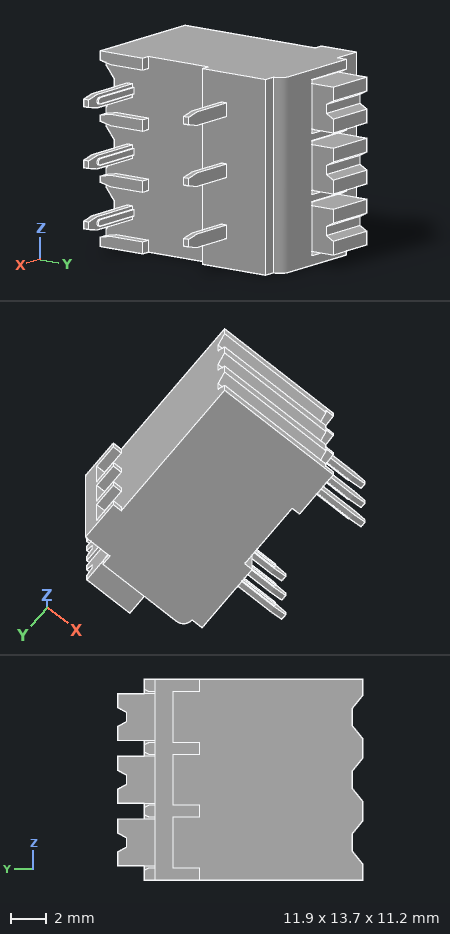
import cadquery as cq


pole_count = 3
pole_pitch = 3.5
block_height = 11.2
pole_centers = [(i - (pole_count - 1) / 2) * pole_pitch for i in range(pole_count)]

overall_length = 11.9
overall_width = 13.65
housing_left = 0.57
housing_right = 8.4
flange_bottom = 9.1
shoulder_y = 11.56
raised_left = 1.76
raised_right = 7.67
raised_top = 12.18
raised_corner_radius = raised_top - shoulder_y
foot_height = 0.53
front_foot_end = 2.98
rear_foot_start = 7.15
foot_base = housing_right - foot_height

flange_recess_height = 2.83
flange_recess_top = 10.57

button_left = 1.8
button_right = 4.9
button_height = 2.62
button_notch_depth = 0.48
button_notch_mouth = 1.04
button_notch_floor = 0.52
slot_height = flange_recess_height
slot_lead_in_height = 0.14
slot_lead_in_depth = 0.27

groove_depth = 0.57
groove_mouth = 2.4
groove_floor = 0.98

opening_mouth = 3.14
opening_throat = 2.84
opening_taper_depth = 0.75

pin_root = foot_base - foot_height
pin_height = 0.78
pin_thickness = 0.35
pin_tip_height = 0.44
pin_taper_start = 11.12
front_pin_y = 1.5
rear_pin_y = 8.49
ridge_height = 0.38
ridge_thickness = 0.1


def prism_along_x(points_yz, x_start, x_end):
    """Closed Y-Z outline extruded from x_start to x_end."""
    return cq.Workplane("YZ").workplane(offset=x_start).polyline(points_yz).close().extrude(x_end - x_start)


def box_between(x_range, y_range, z_center, height):
    """Box spanning the given X and Y ranges, centred on z_center."""
    center = (sum(x_range) / 2, sum(y_range) / 2, z_center)
    return cq.Workplane("XY", origin=center).box(x_range[1] - x_range[0], y_range[1] - y_range[0], height)


def make_housing():
    return (
        cq.Workplane("XY")
        .workplane(offset=-block_height / 2)
        .moveTo(housing_left, 0)
        .lineTo(housing_right, 0)
        .lineTo(housing_right, front_foot_end)
        .lineTo(foot_base, front_foot_end)
        .lineTo(foot_base, rear_foot_start)
        .lineTo(housing_right, rear_foot_start)
        .lineTo(housing_right, shoulder_y)
        .lineTo(raised_right, shoulder_y)
        .radiusArc((raised_right - raised_corner_radius, raised_top), -raised_corner_radius)
        .lineTo(raised_left, raised_top)
        .lineTo(raised_left, shoulder_y)
        .lineTo(0, shoulder_y)
        .lineTo(0, flange_bottom)
        .lineTo(housing_left, flange_bottom)
        .close()
        .extrude(block_height)
    )


def make_flange_recess(z):
    return box_between((0, housing_left), (flange_bottom, flange_recess_top), z, flange_recess_height)


def make_button_slot(z):
    half = slot_height / 2
    half_mouth = half + slot_lead_in_height
    lead_in_start = raised_top - slot_lead_in_depth
    outline = [
        (shoulder_y, z - half),
        (lead_in_start, z - half),
        (raised_top, z - half_mouth),
        (raised_top, z + half_mouth),
        (lead_in_start, z + half),
        (shoulder_y, z + half),
    ]
    return prism_along_x(outline, raised_left, button_right)


def make_button(z):
    half = button_height / 2
    notch_y = overall_width - button_notch_depth
    outline = [
        (flange_recess_top, z - half),
        (overall_width, z - half),
        (overall_width, z - button_notch_mouth / 2),
        (notch_y, z - button_notch_floor / 2),
        (notch_y, z + button_notch_floor / 2),
        (overall_width, z + button_notch_mouth / 2),
        (overall_width, z + half),
        (flange_recess_top, z + half),
    ]
    return prism_along_x(outline, button_left, button_right)


def make_groove(z):
    outline = [
        (0, z - groove_mouth / 2),
        (groove_depth, z - groove_floor / 2),
        (groove_depth, z + groove_floor / 2),
        (0, z + groove_mouth / 2),
    ]
    return prism_along_x(outline, housing_left, housing_right)


def make_foot_opening(z):
    outline = [
        (0, z - opening_mouth / 2),
        (opening_taper_depth, z - opening_throat / 2),
        (front_foot_end, z - opening_throat / 2),
        (front_foot_end, z + opening_throat / 2),
        (opening_taper_depth, z + opening_throat / 2),
        (0, z + opening_mouth / 2),
    ]
    return prism_along_x(outline, foot_base, housing_right)


def make_pin(y_start, ridge_y_start, z):
    """Flat pin with a tapered tip and a round-ended ridge on one side, rooted in the housing."""
    blade = (
        cq.Workplane("XZ", origin=(0, y_start + pin_thickness, z))
        .moveTo(pin_root, -pin_height / 2)
        .lineTo(pin_taper_start, -pin_height / 2)
        .lineTo(overall_length, -pin_tip_height / 2)
        .lineTo(overall_length, pin_tip_height / 2)
        .lineTo(pin_taper_start, pin_height / 2)
        .lineTo(pin_root, pin_height / 2)
        .close()
        .extrude(pin_thickness)
    )
    ridge_end = pin_taper_start - ridge_height / 2
    ridge = (
        cq.Workplane("XZ", origin=(0, ridge_y_start + ridge_thickness, z))
        .moveTo(pin_root, -ridge_height / 2)
        .lineTo(ridge_end, -ridge_height / 2)
        .threePointArc((pin_taper_start, 0), (ridge_end, ridge_height / 2))
        .lineTo(pin_root, ridge_height / 2)
        .close()
        .extrude(ridge_thickness)
    )
    return blade.union(ridge)


result = make_housing()
for z in pole_centers:
    result = (
        result.cut(make_flange_recess(z))
        .cut(make_button_slot(z))
        .cut(make_groove(z))
        .cut(make_foot_opening(z))
    )
for z in pole_centers:
    result = (
        result.union(make_button(z))
        .union(make_pin(front_pin_y, front_pin_y + pin_thickness, z))
        .union(make_pin(rear_pin_y, rear_pin_y - ridge_thickness, z))
    )